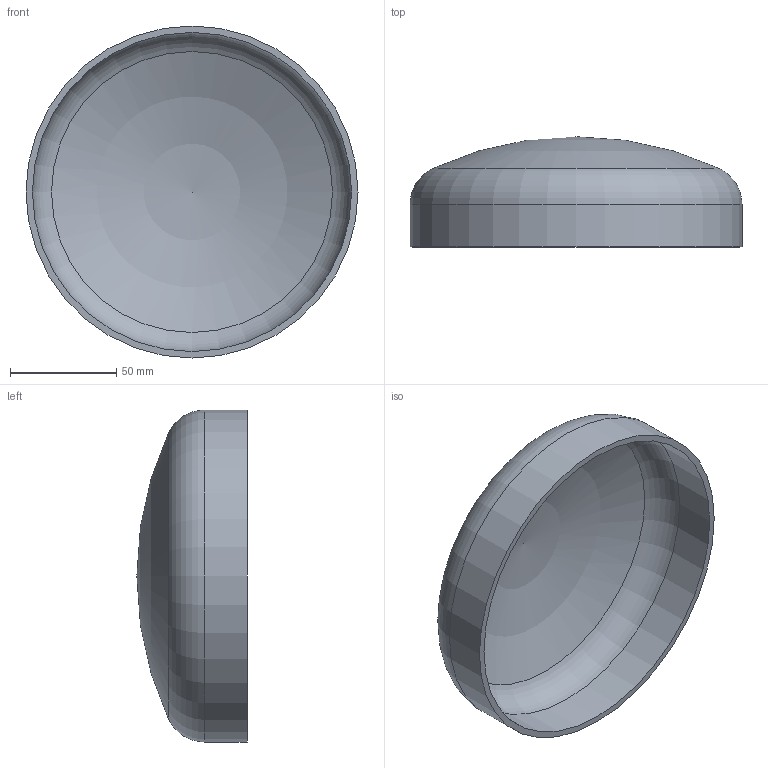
import cadquery as cq
import math

outer_diameter = 156.0
wall = 3.0
skirt_length = 20.0
inner_crown_radius = outer_diameter
inner_knuckle_radius = 0.1 * outer_diameter

outer_radius = outer_diameter / 2
inner_radius = outer_radius - wall
outer_crown_radius = inner_crown_radius + wall
outer_knuckle_radius = inner_knuckle_radius + wall

knuckle_center_x = inner_radius - inner_knuckle_radius
center_distance = inner_crown_radius - inner_knuckle_radius
crown_center_y = skirt_length - math.sqrt(center_distance**2 - knuckle_center_x**2)

seam_angle = math.asin(knuckle_center_x / center_distance)
knuckle_middle_angle = (seam_angle + math.pi / 2) / 2
crown_middle_angle = seam_angle / 2


def knuckle_point(radius, angle):
    """Point on a knuckle arc, with the angle measured from the Y axis."""
    return (
        knuckle_center_x + radius * math.sin(angle),
        skirt_length + radius * math.cos(angle),
    )


def crown_point(radius, angle):
    """Point on a crown arc, with the angle measured from the Y axis."""
    return (radius * math.sin(angle), crown_center_y + radius * math.cos(angle))


def make_dished_end():
    """Revolve the half section of the wall about the Y axis."""
    section = (
        cq.Workplane("XY")
        .moveTo(inner_radius, 0)
        .lineTo(outer_radius, 0)
        .lineTo(outer_radius, skirt_length)
        .threePointArc(
            knuckle_point(outer_knuckle_radius, knuckle_middle_angle),
            knuckle_point(outer_knuckle_radius, seam_angle),
        )
        .threePointArc(
            crown_point(outer_crown_radius, crown_middle_angle),
            crown_point(outer_crown_radius, 0),
        )
        .lineTo(*crown_point(inner_crown_radius, 0))
        .threePointArc(
            crown_point(inner_crown_radius, crown_middle_angle),
            crown_point(inner_crown_radius, seam_angle),
        )
        .threePointArc(
            knuckle_point(inner_knuckle_radius, knuckle_middle_angle),
            (inner_radius, skirt_length),
        )
        .close()
    )
    return section.revolve(360, (0, 0, 0), (0, 1, 0))


result = make_dished_end()